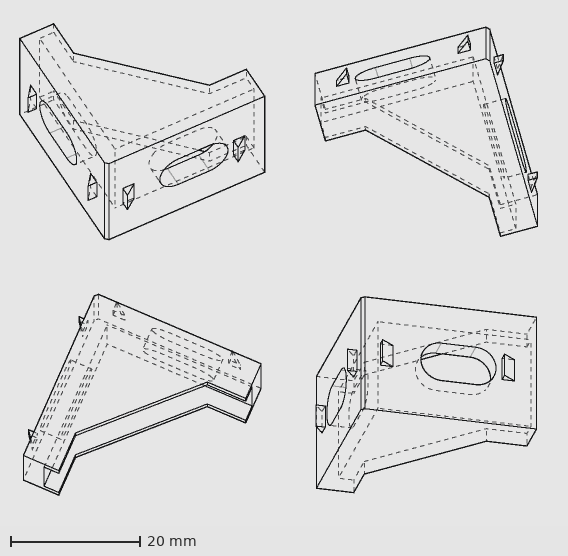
import cadquery as cq

leg_length = 28.0
height = 19.5
leg_end_depth = 6.0
leg_end_flat = 6.5
plate_thickness = 3.5
cheek_thickness = 2.2
corner_chamfer = 0.5

slot_length = 12.0
slot_width = 6.5
slot_end_offset = 6.5

tooth_height = 29.5 - leg_length
tooth_length = 2.0
tooth_width = 3.7
tooth_offsets = (3.5, 23.0)

mirror_normal = (1, 1, 0)


def prism(points, depth):
    """Extrude an XY outline along Z, centred on the XY plane."""
    return cq.Workplane("XY").polyline(points).close().extrude(depth / 2, both=True)


def across_corner(shape):
    """Copy a shape from the X leg to the Y leg."""
    return cq.Workplane(obj=shape.val().mirror(cq.Vector(*mirror_normal)))


def make_body():
    diagonal_start = leg_length - leg_end_flat
    return prism(
        [
            (-leg_length, 0),
            (-corner_chamfer, 0),
            (0, corner_chamfer),
            (0, leg_length),
            (-leg_end_depth, leg_length),
            (-leg_end_depth, diagonal_start),
            (-diagonal_start, leg_end_depth),
            (-leg_length, leg_end_depth),
        ],
        height,
    )


def make_pocket():
    """Space between the cheeks, open at the diagonal and at both leg ends."""
    size = leg_length - plate_thickness
    return (
        cq.Workplane("XY")
        .center(-plate_thickness - size / 2, plate_thickness + size / 2)
        .rect(size, size)
        .extrude(height / 2 - cheek_thickness, both=True)
    )


def make_slot():
    """Slot through the plate of the X leg."""
    slot_centre = -leg_length + slot_end_offset + slot_length / 2
    return (
        cq.Workplane("XZ")
        .center(slot_centre, 0)
        .slot2D(slot_length, slot_width)
        .extrude(-plate_thickness)
    )


def make_tooth(offset):
    """Ramped locating tooth on the outer face of the X leg."""
    ramp_start = -leg_length + offset
    ramp_end = ramp_start + tooth_length
    return prism([(ramp_start, 0), (ramp_end, 0), (ramp_end, -tooth_height)], tooth_width)


result = make_body().cut(make_pocket())

slot = make_slot()
result = result.cut(slot).cut(across_corner(slot))

for tooth_offset in tooth_offsets:
    tooth = make_tooth(tooth_offset)
    result = result.union(tooth).union(across_corner(tooth))